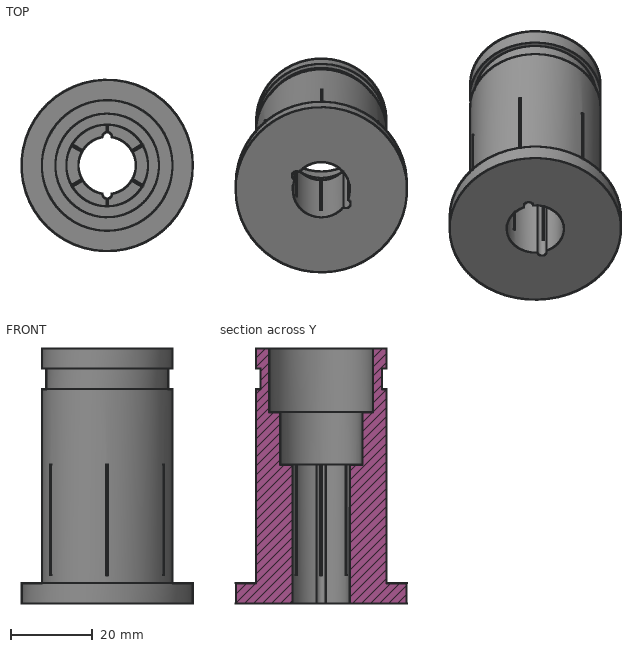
import cadquery as cq

total_height = 62.5
flange_height = 5.0
collar_height = 5.0
neck_height = 5.0
collar_bottom = total_height - collar_height
neck_bottom = collar_bottom - neck_height

flange_radius = 21.0
barrel_radius = 16.0
neck_radius = 15.0

mouth_radius = 12.7
mouth_depth = 15.6
middle_radius = 10.0
bore_radius = 7.0

groove_radius = 1.1
groove_offset = bore_radius

slit_count = 6
slit_width = 0.4
slit_bottom = 7.0
slit_top = 34.0
slit_height = slit_top - slit_bottom
slit_first_angle = 30.0

ledge_height = slit_top


def cylinder(radius, bottom, top):
    """Cylinder on the part axis between two heights."""
    return cq.Workplane("XY").workplane(offset=bottom).circle(radius).extrude(top - bottom)


def make_outer_body():
    """Flanged barrel with a neck below the top collar."""
    flange = cylinder(flange_radius, 0, flange_height)
    barrel = cylinder(barrel_radius, 0, neck_bottom)
    neck = cylinder(neck_radius, 0, collar_bottom)
    collar = cylinder(barrel_radius, collar_bottom, total_height)
    return flange.union(barrel).union(neck).union(collar)


def make_bore():
    """Stepped through bore with two round grooves along its narrow part."""
    narrow = cylinder(bore_radius, 0, total_height)
    middle = cylinder(middle_radius, ledge_height, total_height)
    mouth = cylinder(mouth_radius, total_height - mouth_depth, total_height)
    grooves = (
        cq.Workplane("XY")
        .pushPoints([(0, groove_offset), (0, -groove_offset)])
        .circle(groove_radius)
        .extrude(ledge_height)
    )
    return narrow.union(middle).union(mouth).union(grooves)


def make_slit(angle):
    """Thin radial slot from the axis out through the barrel wall."""
    return (
        cq.Workplane("XY")
        .workplane(offset=slit_bottom)
        .rect(flange_radius, slit_width)
        .extrude(slit_height)
        .translate((flange_radius / 2, 0, 0))
        .rotate((0, 0, 0), (0, 0, 1), angle)
    )


result = make_outer_body().cut(make_bore())
for index in range(slit_count):
    result = result.cut(make_slit(slit_first_angle + index * 360 / slit_count))